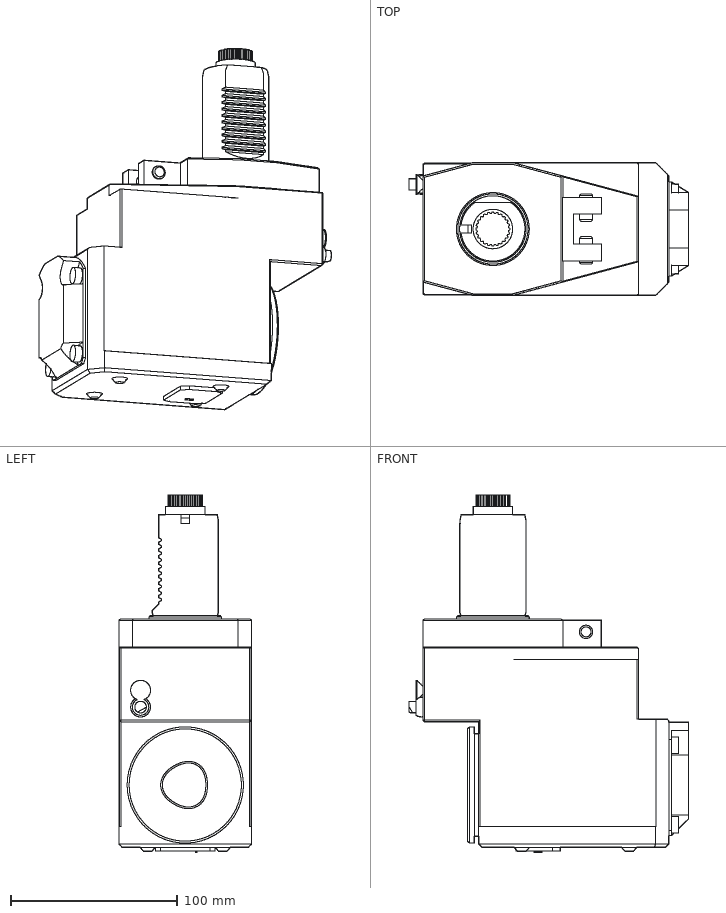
import math

import cadquery as cq


WIDTH = 80.0
HALF_WIDTH = WIDTH / 2
LEFT_X = -42.2
STEP_X = 87.8
LOWER_LEFT_X = -8.6
LOWER_RIGHT_X = 106.0
BODY_TOP_Z = -17.0
LEDGE_TOP_Z = -24.5
OVERHANG_Z = -62.0
STEP_Z = -60.4
BOTTOM_Z = -137.5
SPINDLE_Z = -100.0
BODY_EDGE = 1.0
BODY_TOP_EDGE = 0.5
BODY_INSET = 0.2
BODY_HALF_WIDTH = HALF_WIDTH - BODY_INSET

REAR_CHAMFER = 8.0

COVER_TOP_Z = -125.0
COVER_EDGE = 2.0

PLATE_RIGHT_X = 42.1
PLATE_EDGE = 1.0
FLANK_START_X = 12.0
FLANK_SLOPE = math.tan(math.radians(15))

LUG_TOP_Z = -0.8
LUG_RIGHT_X = 65.3
LUG_OUTER_Y = 19.1
LUG_INNER_Y = 9.0
NOTCH_X = 48.7
PIN_D = 8.0
PIN_X = 56.1
PIN_Z = -7.8
PIN_INNER_Y = 4.6
PIN_OUTER_Y = 21.2
PIN_CHAMFER = 1.0

SHANK_D = 40.0
SHANK_TOP_Z = 62.7
SHANK_CHAMFER_H = 3.3
SHANK_CHAMFER_R = 0.7
SEAT_D = 43.9
SEAT_TOP_D = 42.3
SEAT_H = 2.0
RELIEF_TOP_Z = 3.9
RELIEF_R = 19.4
FLAT_Y = 16.0
FLAT_RUNOUT_Z = 5.0
RACK_FIRST_Z = 11.5
RACK_PITCH = 4.0
RACK_COUNT = 10
RACK_DEPTH = 1.6
RACK_MOUTH = 2.6
RACK_ROOT = 0.8
KEY_WIDTH = 5.0
KEY_FLOOR_Z = 57.4
KEY_INNER_X = -12.9
KEY_RAMP = 2.0

COLLAR_D = 23.8
COLLAR_TOP_Z = 67.8
SPLINE_TOP_Z = 74.7
SPLINE_TIP_R = 10.3
SPLINE_ROOT_R = 9.5
SPLINE_TEETH = 24
SPLINE_TIP_SHARE = 0.15
SPLINE_ROOT_SHARE = 0.35

NOSE_D = 70.0
NOSE_FACE_X = -15.4
NOSE_BACK_X = -11.2
NOSE_CHAMFER = 1.2
NECK_D = 62.0
SOCKET_MEAN_R = 14.1
SOCKET_LOBE = 0.7
SOCKET_LOBES = 3
SOCKET_SAMPLES = 60
SOCKET_DEPTH = 40.0
SOCKET_TAPER = 1 / 20

CAP_D = 79.0
CAP_TOP_Z = -62.2
CAP_BOTTOM_Z = -130.5
CAP_HALF_WIDTH = 28.4
CAP_FLANGE_X = 107.5
CAP_FACE_X = 117.8
CAP_FACE_HALF_WIDTH = 22.0
CAP_FACE_BOTTOM_Z = -120.5
CAP_SCREW_D = 10.0
CAP_SCREW_HEAD_X = 111.9
CAP_SCREW_DY = 22.0
CAP_SCREW_DZ = 24.0
CAP_POCKET_D = 12.0

FITTING_Y = 26.9
FITTING_D = 12.0
FITTING_FACE_X = -46.4
PLUG_Z = -43.0
PLUG_RIM = 0.7
PLUG_ROOT_D = 5.0
NOZZLE_Z = -53.1
NOZZLE_BALL_X = -43.0
SPOUT_D = 7.0
SPOUT_X = -50.5
SPOUT_CUT = (-1.0, -0.5, -0.87)

COVER_SCREW_XS = (17.4, 82.1)
COVER_SCREW_Y = 22.6
COVER_SCREW_D = 9.5
COVER_SCREW_TIP_D = 5.0
COVER_SCREW_H = 2.4
BADGE_LEFT_X = 13.8
BADGE_RIGHT_X = 40.6
BADGE_HALF_WIDTH = 18.0
BADGE_H = 2.3
BADGE_CORNER_X = 4.7
BADGE_CORNER_Y = 3.0
BADGE_RIB_X = 27.2
BADGE_RIB_Y = -6.7
BADGE_RIB_LENGTH = 5.0
BADGE_RIB_WIDTH = 1.0
PART_BOTTOM_Z = -140.5

OVERLAP = 1.0


def box(x0, x1, y0, y1, z0, z1):
    """Axis-aligned box between two corners."""
    return cq.Workplane("XY").box(x1 - x0, y1 - y0, z1 - z0, centered=False).translate((x0, y0, z0))


def rod_x(diameter, x0, x1, y, z):
    """Cylinder along X."""
    return cq.Workplane("YZ", origin=(x0, y, z)).circle(diameter / 2).extrude(x1 - x0)


def rod_z(diameter, z0, z1):
    """Cylinder along Z on the shank axis."""
    return cq.Workplane("XY", origin=(0, 0, z0)).circle(diameter / 2).extrude(z1 - z0)


def cone(diameter0, diameter1, start, direction, height):
    """Truncated cone from `start`, going along `direction`."""
    solid = cq.Solid.makeCone(diameter0 / 2, diameter1 / 2, height, cq.Vector(*start), cq.Vector(*direction))
    return cq.Workplane(obj=solid)


def flank_half_width(x):
    """Half-width of the part where its flanks taper, at x."""
    return HALF_WIDTH - FLANK_SLOPE * (abs(x) - FLANK_START_X)


def make_upper_body():
    """Block under the mounting plate, with ledges beside its tapering right end.

    Its sides stand slightly inside those of the plate and the cover.
    """
    body = box(LEFT_X, STEP_X, -BODY_HALF_WIDTH, BODY_HALF_WIDTH, OVERHANG_Z, BODY_TOP_Z)
    body = body.edges("|Z or <Z").chamfer(BODY_EDGE)
    for side in (1, -1):
        ledge = (
            cq.Workplane("XY", origin=(0, 0, LEDGE_TOP_Z))
            .moveTo(FLANK_START_X, side * HALF_WIDTH)
            .lineTo(STEP_X, side * flank_half_width(STEP_X))
            .lineTo(STEP_X + OVERLAP, side * flank_half_width(STEP_X))
            .lineTo(STEP_X + OVERLAP, side * (HALF_WIDTH + OVERLAP))
            .lineTo(FLANK_START_X, side * (HALF_WIDTH + OVERLAP))
            .close()
            .extrude(BODY_TOP_Z - LEDGE_TOP_Z + OVERLAP)
        )
        body = body.cut(ledge)
    body = body.faces(">Z").edges(">X").chamfer(BODY_EDGE)
    return body.faces(">Z").edges("not >X").chamfer(BODY_TOP_EDGE)


def make_lower_body():
    """Spindle housing between the upper body and the bottom cover."""
    base = box(LOWER_LEFT_X, LOWER_RIGHT_X, -BODY_HALF_WIDTH, BODY_HALF_WIDTH, COVER_TOP_Z, STEP_Z)
    base = base.edges("|Z and >X").chamfer(REAR_CHAMFER - BODY_INSET)
    base = base.edges(">Z and >X").chamfer(BODY_EDGE)
    return base.edges("|Z and <X").chamfer(BODY_EDGE)


def make_cover():
    """Bottom cover plate with a chamfered lower rim."""
    cover = box(LOWER_LEFT_X, LOWER_RIGHT_X, -HALF_WIDTH, HALF_WIDTH, BOTTOM_Z, COVER_TOP_Z)
    cover = cover.edges("|Z and >X").chamfer(REAR_CHAMFER)
    return cover.faces("<Z").edges().chamfer(COVER_EDGE)


def make_plate():
    """Mounting plate whose flanks taper to both ends."""
    plate = (
        cq.Workplane("XY", origin=(0, 0, BODY_TOP_Z))
        .moveTo(LEFT_X, flank_half_width(LEFT_X))
        .lineTo(-FLANK_START_X, HALF_WIDTH)
        .lineTo(FLANK_START_X, HALF_WIDTH)
        .lineTo(PLATE_RIGHT_X, flank_half_width(PLATE_RIGHT_X))
        .lineTo(PLATE_RIGHT_X, -flank_half_width(PLATE_RIGHT_X))
        .lineTo(FLANK_START_X, -HALF_WIDTH)
        .lineTo(-FLANK_START_X, -HALF_WIDTH)
        .lineTo(LEFT_X, -flank_half_width(LEFT_X))
        .close()
        .extrude(-BODY_TOP_Z)
    )
    return plate.faces(">Z").edges().chamfer(PLATE_EDGE)


def make_lugs():
    """Forked bracket behind the plate with a cross pin in each arm."""
    lugs = box(PLATE_RIGHT_X - OVERLAP, LUG_RIGHT_X, -LUG_OUTER_Y, LUG_OUTER_Y, BODY_TOP_Z, LUG_TOP_Z)
    lugs = lugs.cut(box(NOTCH_X, LUG_RIGHT_X, -LUG_INNER_Y, LUG_INNER_Y, BODY_TOP_Z, LUG_TOP_Z))
    for y0 in (PIN_INNER_Y, -PIN_OUTER_Y):
        pin = (
            cq.Workplane("XZ", origin=(PIN_X, y0, PIN_Z))
            .circle(PIN_D / 2)
            .extrude(-(PIN_OUTER_Y - PIN_INNER_Y))
            .edges()
            .chamfer(PIN_CHAMFER)
        )
        lugs = lugs.union(pin)
    return lugs


def make_shank():
    """Cylindrical shank with a seat ring, a toothed flat and a key slot."""
    radius = SHANK_D / 2
    shank = (
        cq.Workplane("XZ")
        .moveTo(0, -OVERLAP)
        .lineTo(SEAT_D / 2, -OVERLAP)
        .lineTo(SEAT_D / 2, SEAT_H / 2)
        .lineTo(SEAT_TOP_D / 2, SEAT_H)
        .lineTo(RELIEF_R, SEAT_H)
        .lineTo(radius, RELIEF_TOP_Z)
        .lineTo(radius, SHANK_TOP_Z - SHANK_CHAMFER_H)
        .lineTo(radius - SHANK_CHAMFER_R, SHANK_TOP_Z)
        .lineTo(0, SHANK_TOP_Z)
        .close()
        .revolve(360, (0, 0, 0), (0, 1, 0))
    )
    return shank.cut(make_flat_cut()).cut(make_key_slot())


def make_flat_cut():
    """Material removed for the flat on +Y, its 45 degree runout and the rack teeth."""
    radius = SHANK_D / 2
    run = radius - FLAT_Y + OVERLAP
    cut = (
        cq.Workplane("YZ", origin=(-radius, 0, 0))
        .moveTo(FLAT_Y, FLAT_RUNOUT_Z + radius - FLAT_Y)
        .lineTo(FLAT_Y + run, FLAT_RUNOUT_Z - OVERLAP)
        .lineTo(FLAT_Y + run, SHANK_TOP_Z + OVERLAP)
        .lineTo(FLAT_Y, SHANK_TOP_Z + OVERLAP)
        .close()
        .extrude(SHANK_D)
    )
    for index in range(RACK_COUNT):
        groove = (
            cq.Workplane("YZ", origin=(-radius, FLAT_Y, RACK_FIRST_Z + index * RACK_PITCH))
            .moveTo(0, -RACK_MOUTH / 2)
            .lineTo(-RACK_DEPTH, -RACK_ROOT / 2)
            .lineTo(-RACK_DEPTH, RACK_ROOT / 2)
            .lineTo(0, RACK_MOUTH / 2)
            .close()
            .extrude(SHANK_D)
        )
        cut = cut.union(groove)
    return cut


def make_key_slot():
    """Key slot in the top of the shank on -X, with a ramped inner end."""
    return (
        cq.Workplane("XZ", origin=(0, KEY_WIDTH / 2, 0))
        .moveTo(-SHANK_D, KEY_FLOOR_Z)
        .lineTo(KEY_INNER_X - KEY_RAMP, KEY_FLOOR_Z)
        .lineTo(KEY_INNER_X - KEY_RAMP, SHANK_TOP_Z - KEY_RAMP)
        .lineTo(KEY_INNER_X, SHANK_TOP_Z)
        .lineTo(-SHANK_D, SHANK_TOP_Z)
        .close()
        .extrude(KEY_WIDTH)
    )


def make_spline():
    """Collar and toothed drive spline on top of the shank."""
    pitch = 2 * math.pi / SPLINE_TEETH
    points = []
    for tooth in range(SPLINE_TEETH):
        corners = (
            (SPLINE_ROOT_R, -SPLINE_ROOT_SHARE),
            (SPLINE_TIP_R, -SPLINE_TIP_SHARE),
            (SPLINE_TIP_R, SPLINE_TIP_SHARE),
            (SPLINE_ROOT_R, SPLINE_ROOT_SHARE),
        )
        for radius, share in corners:
            angle = (tooth + share) * pitch
            points.append((radius * math.cos(angle), radius * math.sin(angle)))
    teeth = (
        cq.Workplane("XY", origin=(0, 0, COLLAR_TOP_Z - OVERLAP))
        .polyline(points)
        .close()
        .extrude(SPLINE_TOP_Z - COLLAR_TOP_Z + OVERLAP)
    )
    return rod_z(COLLAR_D, SHANK_TOP_Z - OVERLAP, COLLAR_TOP_Z).union(teeth)


def make_nose():
    """Spindle nose flange on its neck."""
    nose = rod_x(NOSE_D, NOSE_FACE_X, NOSE_BACK_X, 0, SPINDLE_Z).faces("<X").edges().chamfer(NOSE_CHAMFER)
    return nose.union(rod_x(NECK_D, NOSE_BACK_X, LOWER_LEFT_X + OVERLAP, 0, SPINDLE_Z))


def lobed_wire(x, mean_radius):
    """Closed three-lobed curve around the spindle axis at x."""
    def point(share):
        angle = 2 * math.pi * share
        radius = mean_radius + SOCKET_LOBE * math.cos(SOCKET_LOBES * angle)
        return radius * math.cos(angle), radius * math.sin(angle)

    plane = cq.Workplane("YZ", origin=(x, 0, SPINDLE_Z))
    return plane.parametricCurve(point, N=SOCKET_SAMPLES).val()


def make_socket():
    """Tapered three-lobed tool socket, one lobe pointing to +Y."""
    inner_radius = SOCKET_MEAN_R - SOCKET_DEPTH * SOCKET_TAPER / 2
    mouth = lobed_wire(NOSE_FACE_X, SOCKET_MEAN_R)
    end = lobed_wire(NOSE_FACE_X + SOCKET_DEPTH, inner_radius)
    return cq.Workplane(obj=cq.Solid.makeLoft([mouth, end]))


def make_cap():
    """Rear bearing cap: trimmed disc with slanted sides and four corner screws."""
    cap = rod_x(CAP_D, LOWER_RIGHT_X - OVERLAP, CAP_FACE_X, 0, SPINDLE_Z)
    cap = cap.intersect(box(
        LOWER_RIGHT_X - OVERLAP, CAP_FACE_X, -CAP_HALF_WIDTH, CAP_HALF_WIDTH, CAP_BOTTOM_Z, CAP_TOP_Z))
    for side in (1, -1):
        flank = (
            cq.Workplane("XY", origin=(0, 0, CAP_BOTTOM_Z))
            .moveTo(CAP_FLANGE_X, side * CAP_HALF_WIDTH)
            .lineTo(CAP_FACE_X, side * CAP_FACE_HALF_WIDTH)
            .lineTo(CAP_FACE_X, side * CAP_HALF_WIDTH)
            .close()
            .extrude(CAP_TOP_Z - CAP_BOTTOM_Z)
        )
        cap = cap.cut(flank)
    underside = (
        cq.Workplane("XZ", origin=(0, CAP_HALF_WIDTH, 0))
        .moveTo(CAP_FLANGE_X, CAP_BOTTOM_Z)
        .lineTo(CAP_FACE_X, CAP_FACE_BOTTOM_Z)
        .lineTo(CAP_FACE_X, CAP_BOTTOM_Z)
        .close()
        .extrude(2 * CAP_HALF_WIDTH)
    )
    cap = cap.cut(underside)
    corners = [(sy * CAP_SCREW_DY, sz * CAP_SCREW_DZ) for sy in (1, -1) for sz in (1, -1)]
    for y, dz in corners:
        cap = cap.cut(make_cap_pocket(y, dz))
    for y, dz in corners:
        cap = cap.union(rod_x(CAP_SCREW_D, LOWER_RIGHT_X, CAP_SCREW_HEAD_X, y, SPINDLE_Z + dz))
    return cap


def make_cap_pocket(y, dz):
    """Screw pocket that opens radially and sideways through the cap rim."""
    depth = CAP_FACE_X - CAP_FLANGE_X
    reach = CAP_D / 2
    pocket = rod_x(CAP_POCKET_D, CAP_FLANGE_X, CAP_FACE_X, y, SPINDLE_Z + dz)
    radial_angle = math.degrees(math.atan2(dz, y))
    sideways_angle = 0 if y > 0 else 180
    for angle in (radial_angle, sideways_angle):
        channel = (
            cq.Workplane("YZ", origin=(CAP_FLANGE_X, y, SPINDLE_Z + dz))
            .transformed(rotate=(0, 0, angle))
            .center(reach / 2, 0)
            .rect(reach, CAP_POCKET_D)
            .extrude(depth)
        )
        pocket = pocket.union(channel)
    return pocket


def make_plug():
    """Countersunk plug standing proud of the left face."""
    cone_x = FITTING_FACE_X + PLUG_RIM
    plug = rod_x(FITTING_D, FITTING_FACE_X, cone_x, FITTING_Y, PLUG_Z)
    taper = cone(FITTING_D, PLUG_ROOT_D, (cone_x, FITTING_Y, PLUG_Z), (1, 0, 0), LEFT_X - cone_x)
    stem = rod_x(PLUG_ROOT_D, LEFT_X - OVERLAP, LEFT_X + OVERLAP, FITTING_Y, PLUG_Z)
    return plug.union(taper).union(stem)


def make_nozzle():
    """Ball nozzle with a short spout, its tip cut obliquely."""
    ball = cq.Workplane("XY").sphere(FITTING_D / 2).translate((NOZZLE_BALL_X, FITTING_Y, NOZZLE_Z))
    ball = ball.intersect(rod_x(FITTING_D, FITTING_FACE_X, LEFT_X + OVERLAP, FITTING_Y, NOZZLE_Z))
    spout = rod_x(SPOUT_D, SPOUT_X, NOZZLE_BALL_X, FITTING_Y, NOZZLE_Z)
    radius = SPOUT_D / 2
    cut_point = (SPOUT_X, FITTING_Y + SPOUT_CUT[1] * radius / 2, NOZZLE_Z + SPOUT_CUT[2] * radius / 2)
    tip_cut = cq.Workplane(cq.Plane(cut_point, normal=SPOUT_CUT)).rect(FITTING_D, FITTING_D).extrude(SPOUT_D)
    return ball.union(spout.cut(tip_cut))


def make_badge():
    """Badge under the cover with clipped corners and a small rib."""
    long_x = BADGE_RIGHT_X - BADGE_LEFT_X
    wide_y = 2 * BADGE_HALF_WIDTH
    center_x = (BADGE_LEFT_X + BADGE_RIGHT_X) / 2
    badge_base = cq.Workplane("XY", origin=(center_x, 0, BOTTOM_Z - BADGE_H))
    height = BADGE_H + OVERLAP
    diamond_x = long_x / 2 + (wide_y / 2 - BADGE_CORNER_Y) * BADGE_CORNER_X / BADGE_CORNER_Y
    diamond_y = diamond_x * BADGE_CORNER_Y / BADGE_CORNER_X
    badge = badge_base.rect(long_x, wide_y).extrude(height).intersect(
        badge_base.polyline([(diamond_x, 0), (0, diamond_y), (-diamond_x, 0), (0, -diamond_y)])
        .close().extrude(height))
    rib = box(
        BADGE_RIB_X - BADGE_RIB_LENGTH / 2, BADGE_RIB_X + BADGE_RIB_LENGTH / 2,
        BADGE_RIB_Y - BADGE_RIB_WIDTH / 2, BADGE_RIB_Y + BADGE_RIB_WIDTH / 2,
        PART_BOTTOM_Z, BOTTOM_Z,
    )
    return badge.union(rib)


def make_cover_screws():
    """Tapered heads of the four cover screws."""
    heads = cq.Workplane("XY")
    for x in COVER_SCREW_XS:
        for y in (COVER_SCREW_Y, -COVER_SCREW_Y):
            start = (x, y, BOTTOM_Z)
            heads = heads.add(cone(COVER_SCREW_D, COVER_SCREW_TIP_D, start, (0, 0, -1), COVER_SCREW_H))
    return heads.combine()


result = make_upper_body()
for piece in (
    make_lower_body(),
    make_cover(),
    make_plate(),
    make_lugs(),
    make_shank(),
    make_spline(),
    make_nose(),
    make_cap(),
    make_plug(),
    make_nozzle(),
    make_badge(),
    make_cover_screws(),
):
    result = result.union(piece)
result = result.cut(make_socket())